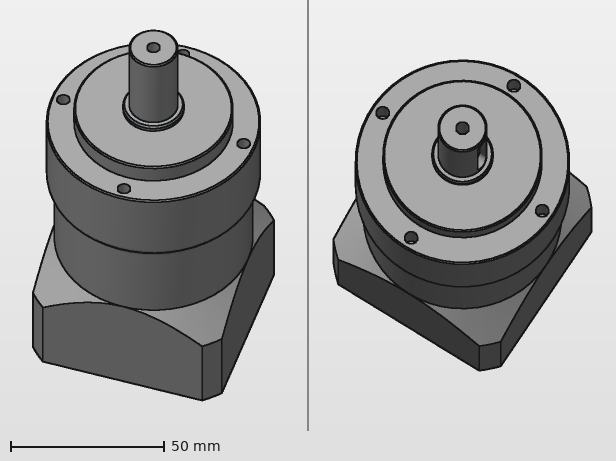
import cadquery as cq
import math

total_height = 128.7

housing_width = 65.0
housing_corner_radius = 42.5
housing_height = 36.5

barrel_radius = housing_width / 2
flange_radius = 35.0
flange_top = 92.5
flange_bottom = 68.2
neck_blend_radius = 3.0
pilot_radius = 26.0
pilot_height = 6.5
pilot_top = flange_top + pilot_height
collar_radius = 10.0
collar_height = 2.0
collar_top = pilot_top + collar_height
collar_chamfer_width = 0.5
collar_chamfer_height = 0.8
shaft_radius = 8.0
edge_chamfer = 0.5

keyway_width = 5.0
keyway_depth = 3.0
keyway_length = 25.0
keyway_end_gap = 2.0

hole_diameter = 4.2
drill_tip_angle = 118.0
mounting_hole_count = 4
mounting_circle_radius = 31.0
mounting_hole_depth = 10.0
shaft_hole_depth = 12.5


def make_housing():
    """Square block with cylindrical corners and a 45 degree cone starting at the barrel."""
    corner_drop = housing_corner_radius - barrel_radius
    block = cq.Workplane("XY").rect(housing_width, housing_width).extrude(housing_height)
    envelope = (
        cq.Workplane("XY")
        .circle(housing_corner_radius)
        .extrude(housing_height)
        .faces(">Z")
        .chamfer(corner_drop)
    )
    return block.intersect(envelope)


def make_barrel():
    """Barrel and flange joined by two equal tangent arcs, one convex and one concave."""
    half_step = (flange_radius - barrel_radius) / 2
    blend_angle = math.acos(1 - half_step / neck_blend_radius)
    half_height = neck_blend_radius * math.sin(blend_angle)
    mid_inset = neck_blend_radius * (1 - math.cos(blend_angle / 2))
    mid_drop = neck_blend_radius * math.sin(blend_angle / 2)
    blend_bottom = flange_bottom - 2 * half_height

    profile = (
        cq.Workplane("XZ")
        .lineTo(barrel_radius, 0)
        .lineTo(barrel_radius, blend_bottom)
        .threePointArc(
            (barrel_radius + mid_inset, blend_bottom + mid_drop),
            (barrel_radius + half_step, blend_bottom + half_height),
        )
        .threePointArc(
            (flange_radius - mid_inset, flange_bottom - mid_drop),
            (flange_radius, flange_bottom),
        )
        .lineTo(flange_radius, flange_top)
        .lineTo(0, flange_top)
        .close()
    )
    return profile.revolve(360, (0, 0, 0), (0, 1, 0)).faces(">Z").chamfer(edge_chamfer)


def make_disc(radius, top):
    """Solid disc from the base up to the given height."""
    return cq.Workplane("XY").circle(radius).extrude(top)


def make_collar():
    """Shaft collar with a steep chamfer on its top edge."""
    profile = (
        cq.Workplane("XZ")
        .lineTo(collar_radius, 0)
        .lineTo(collar_radius, collar_top - collar_chamfer_height)
        .lineTo(collar_radius - collar_chamfer_width, collar_top)
        .lineTo(0, collar_top)
        .close()
    )
    return profile.revolve(360, (0, 0, 0), (0, 1, 0))


def make_keyway():
    """Round-ended keyway cutter reaching in from the +Y side of the shaft."""
    keyway_middle = total_height - keyway_end_gap - keyway_length / 2
    return (
        cq.Workplane("XZ", origin=(0, shaft_radius, keyway_middle))
        .slot2D(keyway_length, keyway_width, 90)
        .extrude(keyway_depth)
    )


def make_drill(x, y, top, depth):
    """Drill cutter with a conical tip, going down from the given height."""
    radius = hole_diameter / 2
    tip_length = radius / math.tan(math.radians(drill_tip_angle / 2))
    profile = (
        cq.Workplane("XZ", origin=(x, y, top))
        .lineTo(radius, 0)
        .lineTo(radius, -depth)
        .lineTo(0, -depth - tip_length)
        .close()
    )
    return profile.revolve(360, (0, 0, 0), (0, 1, 0))


pilot = make_disc(pilot_radius, pilot_top).faces(">Z").chamfer(edge_chamfer)
shaft = make_disc(shaft_radius, total_height).faces(">Z").chamfer(edge_chamfer)

result = make_housing().union(make_barrel()).union(pilot).union(make_collar()).union(shaft)
result = result.cut(make_keyway())
result = result.cut(make_drill(0, 0, total_height, shaft_hole_depth))

for index in range(mounting_hole_count):
    angle = 2 * math.pi * index / mounting_hole_count
    hole_x = mounting_circle_radius * math.cos(angle)
    hole_y = mounting_circle_radius * math.sin(angle)
    result = result.cut(make_drill(hole_x, hole_y, flange_top, mounting_hole_depth))